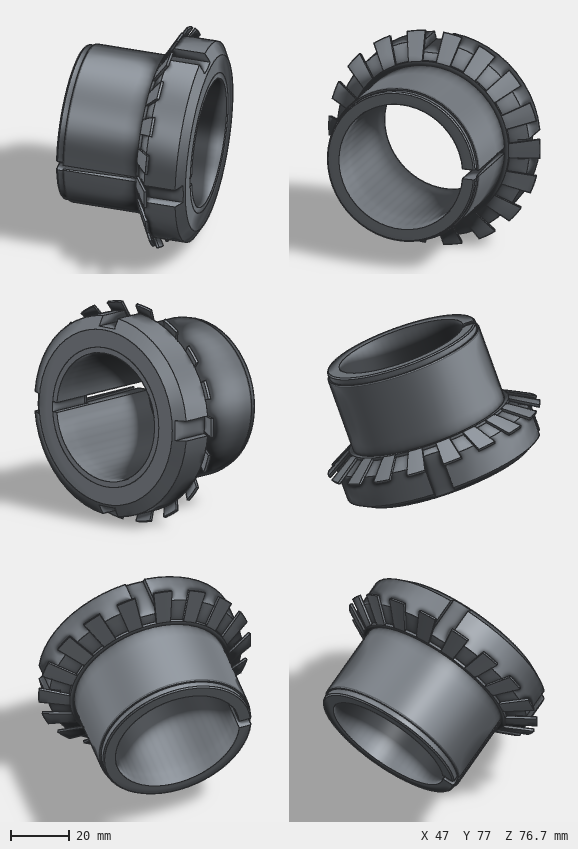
import cadquery as cq
import math

overall_length = 47.0
ring_start = 2.5
washer_face = 29.0
washer_thickness = 1.0
washer_back = washer_face + washer_thickness

sleeve_bore_radius = 45.0 / 2
thread_radius = 48.92 / 2
taper_large_radius = 26.8
taper_small_radius = 25.45
taper_slope = (taper_large_radius - taper_small_radius) / (washer_face - ring_start)
sleeve_slit_width = 3.5
sleeve_chamfer_length = 0.5
sleeve_chamfer_height = 0.45

ring_radius = 55.0 / 2
ring_slit_width = 2.0
ring_chamfer_length = 0.5
ring_chamfer_height = 0.15

washer_bore_radius = 50.0 / 2
washer_bend_radius = 29.0
tooth_tip_radius = 77.0 / 2
tooth_count = 18
tooth_angle = 10.0
tooth_bend = 30.0

nut_radius = 70.0 / 2
nut_back_chamfer_length = 2.5
nut_back_chamfer_angle = 60.0
nut_bore_chamfer = washer_bore_radius - thread_radius
nut_slot_count = 4
nut_slot_width = 7.0
nut_slot_floor_radius = 31.5


def revolve_about_x(points):
    """Turn a closed (x, radius) outline about the X axis."""
    return cq.Workplane("XY").polyline(points).close().revolve(360, (0, 0, 0), (1, 0, 0))


def split_on_front(body, width):
    """Cut a radial slit along X, on the -Y side, right through one wall of a round body."""
    slit = cq.Workplane("XY").box(3 * overall_length, nut_radius, width).translate((0, -nut_radius / 2, 0))
    return body.rotate((0, 0, 0), (1, 0, 0), 180).cut(slit)


def taper_radius(x):
    """Radius of the shared sleeve and ring taper at station x."""
    return taper_large_radius - taper_slope * (x - ring_start)


bend_tan = math.tan(math.radians(tooth_bend))


def make_sleeve():
    body = revolve_about_x([
        (0, sleeve_bore_radius),
        (0, taper_radius(sleeve_chamfer_length) - sleeve_chamfer_height),
        (sleeve_chamfer_length, taper_radius(sleeve_chamfer_length)),
        (washer_face, taper_small_radius),
        (washer_face, thread_radius),
        (overall_length, thread_radius),
        (overall_length, sleeve_bore_radius),
    ])
    return split_on_front(body, sleeve_slit_width)


def make_ring():
    body = revolve_about_x([
        (ring_start, taper_large_radius),
        (ring_start, ring_radius - ring_chamfer_height),
        (ring_start + ring_chamfer_length, ring_radius),
        (washer_face, ring_radius),
        (washer_face, taper_small_radius),
    ])
    return split_on_front(body, ring_slit_width)


def tooth_sector(angle):
    """Wedge along X that spans one tooth, centred on the given angle about X."""
    reach = 2 * tooth_tip_radius
    half_width = reach * math.tan(math.radians(tooth_angle / 2))
    wedge = (
        cq.Workplane("YZ")
        .polyline([(0, 0), (reach, -half_width), (reach, half_width)])
        .close()
        .extrude(overall_length)
    )
    return wedge.rotate((0, 0, 0), (1, 0, 0), angle)


def make_washer():
    plate = revolve_about_x([
        (washer_face, washer_bore_radius),
        (washer_face, washer_bend_radius),
        (washer_back, washer_bend_radius),
        (washer_back, washer_bore_radius),
    ])
    lean = math.radians(tooth_bend)
    tooth_thickness = washer_thickness * math.cos(lean)
    tip_x = washer_face + (tooth_tip_radius - washer_bend_radius) * bend_tan
    tip_back_x = tip_x + tooth_thickness * math.cos(lean)
    tip_back_radius = tooth_tip_radius - tooth_thickness * math.sin(lean)
    cone = revolve_about_x([
        (washer_face, washer_bend_radius),
        (tip_x, tooth_tip_radius),
        (tip_back_x, tip_back_radius),
        (washer_back, washer_bend_radius),
    ])
    washer = plate
    for index in range(tooth_count):
        tooth = cone.intersect(tooth_sector(index * 360 / tooth_count))
        washer = washer.union(tooth)
    return washer


def make_nut():
    front_edge_x = washer_back + (nut_radius - washer_bend_radius) * bend_tan
    chamfer_drop = nut_back_chamfer_length * math.tan(math.radians(nut_back_chamfer_angle))
    nut = revolve_about_x([
        (washer_back, thread_radius + nut_bore_chamfer),
        (washer_back, washer_bend_radius),
        (front_edge_x, nut_radius),
        (overall_length - nut_back_chamfer_length, nut_radius),
        (overall_length, nut_radius - chamfer_drop),
        (overall_length, thread_radius),
        (washer_back + nut_bore_chamfer, thread_radius),
    ])
    slot = cq.Workplane("XY").box(3 * overall_length, nut_radius, nut_slot_width)
    slot = slot.translate((0, nut_slot_floor_radius + nut_radius / 2, 0))
    for index in range(nut_slot_count):
        nut = nut.cut(slot.rotate((0, 0, 0), (1, 0, 0), index * 360 / nut_slot_count))
    return nut


sleeve = make_sleeve()
ring = make_ring()
washer = make_washer()
nut = make_nut()

result = cq.Compound.makeCompound([sleeve.val(), ring.val(), washer.val(), nut.val()])